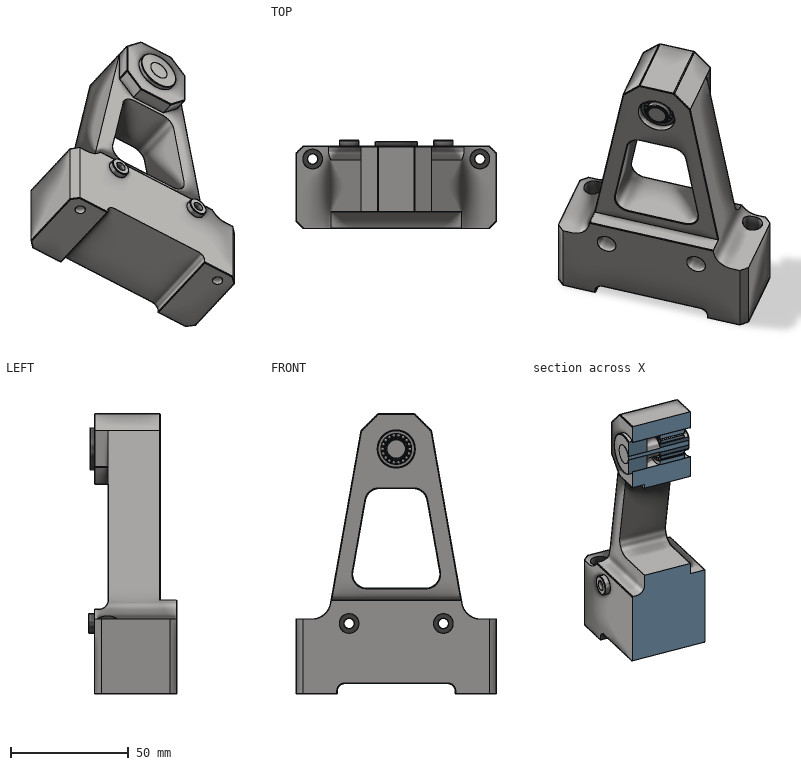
import cadquery as cq
import math

foot_width = 85.0
foot_depth = 35.0
foot_shoulder_z = 31.9
foot_front_z = 40.0
foot_back_z = 36.0
foot_corner_chamfer = 3.0
flare_radius = 8.0
back_blend_radius = foot_front_z - foot_back_z
relief_half_width = 25.0
relief_height = 4.5
relief_radius = 3.3
edge_break = 0.3

total_height = 119.0
tower_front_y = 7.0
tower_back_y = 29.2
head_half_width = 15.0
head_chamfer = 7.3
head_z = total_height - head_half_width
flank_angle = math.radians(10)
flank_top_z = total_height - head_chamfer

window_bottom_z = 45.0
window_top_z = 87.2
window_radius = 6.0
window_wall = 7.0

bolt_radius = 2.1
counterbore_radius = 4.2
counterbore_depth = 10.0
front_bolt_x = 20.0
front_bolt_z = 30.0
down_bolt_x = 35.5
down_bolt_y = 29.5

sleeve_radius = counterbore_radius
sleeve_projection = 2.5
sleeve_seat_depth = 2.5
sleeve_chamfer = 0.2

bore_radius = 8.1
outer_ring_y = tower_front_y + 2.7
bearing_length = 11.9
race_radius = 6.5
inner_ring_radius = 5.0
needle_count = 18
needle_radius = (race_radius - inner_ring_radius) / 2
needle_pitch_radius = (race_radius + inner_ring_radius) / 2
needle_end_radius = 0.9 * needle_radius
cage_thickness = 0.7
cage_end_gap = 0.6
inner_ring_y = tower_front_y + 0.7
ring_chamfer = 0.4
shaft_radius = 4.2
shaft_chamfer = 0.2
shaft_y = tower_front_y + 0.6

flange_radius = 8.9
flange_thickness = 1.9
flange_chamfer = 0.2
bush_length = 7.1


def flank_x(z):
    """Half width of the tower at height z."""
    return head_half_width + (flank_top_z - z) * math.tan(flank_angle)


def prism(points, y_start, y_end):
    """Outline in (X, Z) extruded from y_start to y_end."""
    return cq.Workplane("XZ", origin=(0, y_start, 0)).polyline(points).close().extrude(y_start - y_end)


def disc(radius, y_start, y_end, x=0.0, z=head_z):
    """Cylinder along Y."""
    return cq.Workplane("XZ", origin=(x, y_start, z)).circle(radius).extrude(y_start - y_end)


def tube(outer_radius, inner_radius, y_start, y_end):
    """Hollow cylinder along the bearing axis."""
    return disc(outer_radius, y_start, y_end).cut(disc(inner_radius, y_start, y_end))


def chamfer_rim(body, end, size):
    """Chamfer the outer rim of a round body at its end "<Y" or ">Y"."""
    return body.faces(end).edges(cq.selectors.RadiusNthSelector(-1)).chamfer(size)


def mirrored(points):
    """Close a right-hand outline, listed from bottom to top, with its mirror image."""
    return points + [(-x, z) for x, z in reversed(points)]


def edge_near(y, z):
    """Selector of the edge along X whose middle lies at (0, y, z)."""
    return cq.selectors.NearestToPointSelector((0, y, z))


def make_foot():
    """Base block with its flared shoulders, stepped back ledge and underside relief."""
    half = foot_width / 2
    outline = mirrored([
        (half, 0),
        (half, foot_shoulder_z),
        (flank_x(foot_shoulder_z), foot_shoulder_z),
        (flank_x(foot_front_z), foot_front_z),
    ])
    foot = prism(outline, 0, foot_depth)
    for side in (-1, 1):
        flare_corner = (side * flank_x(foot_shoulder_z), foot_depth / 2, foot_shoulder_z)
        foot = foot.edges(cq.selectors.NearestToPointSelector(flare_corner)).fillet(flare_radius)
    foot = foot.edges("|Z").chamfer(foot_corner_chamfer)

    back_ledge = (
        cq.Workplane("YZ", origin=(-half, 0, 0))
        .moveTo(tower_back_y, foot_front_z)
        .radiusArc((tower_back_y + back_blend_radius, foot_back_z), -back_blend_radius)
        .lineTo(foot_depth, foot_back_z)
        .lineTo(foot_depth, foot_front_z)
        .close()
        .extrude(foot_width)
    )
    relief = (
        cq.Workplane("XY")
        .box(2 * relief_half_width, foot_depth, relief_height, centered=(True, False, False))
        .edges("|Y and >Z")
        .fillet(relief_radius)
    )
    foot = foot.cut(back_ledge).cut(relief)
    foot = foot.faces("<Z").edges().chamfer(edge_break)
    foot = foot.edges(edge_near(0, relief_height)).chamfer(edge_break)
    foot = foot.edges(edge_near(0, foot_front_z)).chamfer(edge_break)
    return foot.edges(edge_near(foot_depth, foot_back_z)).chamfer(edge_break)


def make_tower():
    """Tapered tower with its window, starting inside the foot."""
    tower = prism(mirrored([
        (flank_x(foot_shoulder_z), foot_shoulder_z),
        (head_half_width, flank_top_z),
        (head_half_width - head_chamfer, total_height),
    ]), tower_front_y, tower_back_y)
    tower = tower.edges("|Y and >Z").chamfer(edge_break)
    return tower.cut(make_window()).faces("<Y").edges().chamfer(edge_break)


def make_head_pad():
    """Octagonal pad behind the tower, around the bearing axis."""
    flat = head_half_width - head_chamfer
    pad = prism(mirrored([
        (flat, head_z - head_half_width),
        (head_half_width, head_z - flat),
        (head_half_width, head_z + flat),
        (flat, head_z + head_half_width),
    ]), tower_back_y, foot_depth)
    pad = pad.edges("|Y and >Z").chamfer(edge_break)
    for side in (-1, 1):
        lower_corner = (side * head_half_width, (tower_back_y + foot_depth) / 2, head_z - flat)
        pad = pad.edges(cq.selectors.NearestToPointSelector(lower_corner)).chamfer(edge_break)
    return pad.faces(">Y").edges().chamfer(edge_break)


def make_window():
    """Rounded trapezoid whose sides run parallel to the flanks."""
    leg_width = window_wall / math.cos(flank_angle)
    return prism(mirrored([
        (flank_x(window_bottom_z) - leg_width, window_bottom_z),
        (flank_x(window_top_z) - leg_width, window_top_z),
    ]), tower_front_y, tower_back_y).edges("|Y").fillet(window_radius)


def make_housing():
    """Foot, tower and pad as one body, with the bearing bore and bolt holes."""
    housing = make_foot().union(make_tower()).union(make_head_pad())
    housing = housing.cut(disc(bore_radius, tower_front_y, foot_depth))
    for side in (-1, 1):
        bolt_x = side * front_bolt_x
        housing = housing.cut(disc(bolt_radius, 0, foot_depth, bolt_x, front_bolt_z))
        housing = housing.cut(disc(counterbore_radius, 0, counterbore_depth, bolt_x, front_bolt_z))
        sleeve_seat = disc(sleeve_radius, foot_depth - sleeve_seat_depth, foot_depth, bolt_x, front_bolt_z)
        housing = housing.cut(sleeve_seat)

        down_axis = cq.Workplane("XY").center(side * down_bolt_x, down_bolt_y)
        housing = housing.cut(down_axis.circle(bolt_radius).extrude(foot_front_z))
        counterbore_floor = foot_shoulder_z - counterbore_depth
        housing = housing.cut(
            down_axis.workplane(offset=counterbore_floor).circle(counterbore_radius).extrude(foot_front_z))
    return housing


def make_sleeve(x):
    """Centring sleeve seated in the back of the foot."""
    end_y = foot_depth + sleeve_projection
    sleeve = disc(sleeve_radius, foot_depth - sleeve_seat_depth, end_y, x, front_bolt_z)
    sleeve = chamfer_rim(sleeve, ">Y", sleeve_chamfer)
    return sleeve.cut(disc(bolt_radius, 0, end_y, x, front_bolt_z))


def make_needle_cage():
    """Cage ring with its round-ended needles, as one body."""
    start, end = outer_ring_y, outer_ring_y + bearing_length
    cage = tube(needle_pitch_radius + cage_thickness / 2, needle_pitch_radius - cage_thickness / 2,
                start + cage_end_gap, end - cage_end_gap)
    for index in range(needle_count):
        angle = 2 * math.pi * index / needle_count
        needle = disc(needle_radius, start, end, needle_pitch_radius * math.cos(angle),
                      head_z + needle_pitch_radius * math.sin(angle))
        cage = cage.union(needle.faces("<Y or >Y").edges().fillet(needle_end_radius))
    return cage


bush_y = foot_depth - bush_length
flange_end_y = foot_depth + flange_thickness

housing = make_housing()
sleeves = [make_sleeve(x) for x in (-front_bolt_x, front_bolt_x)]
outer_ring = tube(bore_radius, race_radius, outer_ring_y, outer_ring_y + bearing_length)
outer_ring = chamfer_rim(outer_ring, "<Y", ring_chamfer)
needle_cage = make_needle_cage()
inner_ring = tube(inner_ring_radius, shaft_radius, inner_ring_y, outer_ring_y + bearing_length)
inner_ring = chamfer_rim(inner_ring, "<Y", ring_chamfer)
shaft = disc(shaft_radius, shaft_y, flange_end_y)
shaft = chamfer_rim(shaft, "<Y", shaft_chamfer)
flanged_bush = tube(bore_radius, shaft_radius, bush_y, foot_depth).union(
    tube(flange_radius, shaft_radius, foot_depth, flange_end_y))
flanged_bush = chamfer_rim(flanged_bush, ">Y", flange_chamfer)

result = cq.Compound.makeCompound([
    housing.val(),
    *[sleeve.val() for sleeve in sleeves],
    outer_ring.val(),
    needle_cage.val(),
    inner_ring.val(),
    shaft.val(),
    flanged_bush.val(),
])